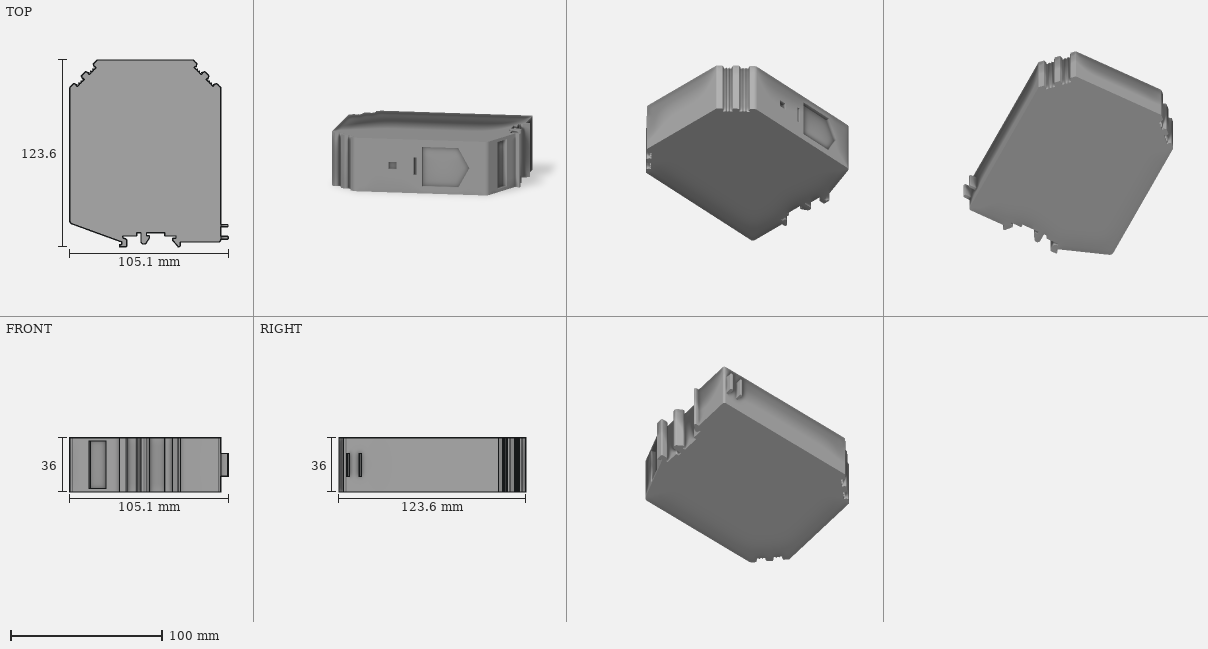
import cadquery as cq
import math

width = 100.0
length = 123.6
thickness = 36.0
mid_z = thickness / 2
base_y = 3.1

slope_start_y = 15.7
slope_angle = 20.0
slope_tan = math.tan(math.radians(slope_angle))
side_radius = 3.0
base_radius = 1.5

bevel = 18.3
bevel_angle = 45
bevel_radius = 3.3
top_radius = 1.2

notch_pitch = 11.1
notch_depth = 3.1
notch_half_mouth = 3.6
notch_half_throat = 2.6
throat_depth = 2.1
notch_half_floor = 3.2
tooth_height = 0.9
tooth_half_base = 0.5
tooth_offset = 1.0

recess_y = 9.1
shelf_y = 7.0
shelf_radius = 0.6
edge_radius = 0.5
foot_left = 33.1
foot_neck = 34.5
foot_right = 38.0
foot_toe_top = 1.4
foot_heel_radius = 1.0
foot_top_radius = 1.5
foot_groove_x = 35.3
foot_groove_y = 5.9
foot_top_y = foot_groove_y - (foot_right - foot_groove_x) * slope_tan
recess_left = 44.5
recess_right = 62.9
tongue_left = 47.1
tongue_right = 51.0
tongue_bottom = 1.7
tongue_tip_x = 50.3
tongue_radius = 2.0
barb_x = 52.9
barb_top = 7.4
barb_bottom = 5.9
hook_groove_x = 70.3
hook_left = 68.1
hook_right = 73.3
hook_top = 5.7
hook_bottom = 4.3
hook_tip_x = 71.8
hook_tip_radius = 1.2

pin_width = 15.2
pin_lengths = [4.8, 5.1]
pin_thicknesses = [1.6, 2.2]
pin_heights = [14.0, 6.0]
pin_chamfers = [0.2, 0.6]

window_top = 82.0
window_bottom = 76.9
window_height = 4.8
window_depth = 3.0
slot_top = 65.3
slot_bottom = 63.3
slot_height = 11.7
slot_depth = 5.0
arrow_top = 59.5
arrow_shoulder = 35.2
arrow_tip = 27.8
arrow_height = 26.5
arrow_depth = 2.5

label_left = 12.7
label_right = 24.1
label_height = 31.6
label_depth = 3.0


def rounded_outline(corners):
    """Closed outline through (x, y, radius) corners, each rounded by a tangent arc."""
    outline = None
    for i, (x, y, radius) in enumerate(corners):
        corner = cq.Vector(x, y)
        before = (cq.Vector(*corners[i - 1][:2]) - corner).normalized()
        after = (cq.Vector(*corners[(i + 1) % len(corners)][:2]) - corner).normalized()
        half_angle = before.getAngle(after) / 2
        setback = radius / math.tan(half_angle)
        start = corner + before * setback
        if outline is None:
            outline = cq.Workplane("XY").moveTo(start.x, start.y)
        else:
            outline = outline.lineTo(start.x, start.y)
        if radius > 0:
            end = corner + after * setback
            bisector = (before + after).normalized()
            middle = corner + bisector * (radius / math.sin(half_angle) - radius)
            outline = outline.threePointArc(middle.toTuple()[:2], end.toTuple()[:2])
    return outline.close()


def make_housing():
    corners = [
        (0, length - bevel, bevel_radius),
        (0, slope_start_y, side_radius),
        (foot_neck, slope_start_y - foot_neck * slope_tan, 0),
        (foot_neck, foot_toe_top, shelf_radius),
        (foot_left, foot_toe_top, 0),
        (foot_left, 0, 0),
        (foot_right, 0, foot_heel_radius),
        (foot_right, foot_top_y, foot_top_radius),
        (foot_groove_x, foot_groove_y, edge_radius),
        (foot_groove_x, shelf_y, 0),
        (recess_left, shelf_y, shelf_radius),
        (recess_left, recess_y, 0),
        (tongue_left, recess_y, 0),
        (tongue_left, tongue_bottom, tongue_radius),
        (tongue_tip_x, tongue_bottom, tongue_radius),
        (barb_x, barb_bottom, edge_radius),
        (barb_x, barb_top, edge_radius),
        (tongue_right, barb_top, 0),
        (tongue_right, recess_y, 0),
        (recess_right, recess_y, 0),
        (recess_right, shelf_y, shelf_radius),
        (hook_groove_x, shelf_y, 0),
        (hook_groove_x, hook_top, 0),
        (hook_left, hook_top, edge_radius),
        (hook_left, hook_bottom, edge_radius),
        (hook_tip_x, 0, 0),
        (hook_right, 0, hook_tip_radius),
        (hook_right, base_y, 0),
        (width, base_y, base_radius),
        (width, length - bevel, 0),
        (width - bevel, length, 0),
        (bevel, length, top_radius),
    ]
    return rounded_outline(corners).extrude(thickness)


def make_notch():
    """Toothed notch with undercut walls, sunk below a face that lies along the X axis."""
    half_profile = [
        (notch_half_mouth, 0),
        (notch_half_throat, -throat_depth),
        (notch_half_floor, -throat_depth),
        (notch_half_floor, -notch_depth),
        (tooth_offset + tooth_half_base, -notch_depth),
        (tooth_offset, tooth_height - notch_depth),
        (tooth_offset - tooth_half_base, -notch_depth),
    ]
    other_half = [(-along, depth) for along, depth in reversed(half_profile)]
    return cq.Workplane("XY").polyline(half_profile + other_half).close().extrude(thickness)


def cut_notches(body):
    face_middle = (bevel / 2, length - bevel / 2, 0)
    for offset in (-notch_pitch / 2, notch_pitch / 2):
        notch = make_notch().translate((offset, 0, 0))
        left_notch = notch.rotate((0, 0, 0), (0, 0, 1), bevel_angle).translate(face_middle)
        right_notch = left_notch.mirror("YZ").translate((width, 0, 0))
        body = body.cut(left_notch).cut(right_notch)
    return body


def side_pocket(top, bottom, height, depth):
    pocket = cq.Workplane("XY").box(depth, top - bottom, height, centered=(False, False, True))
    return pocket.translate((0, bottom, mid_z))


def arrow_pocket():
    half_height = arrow_height / 2
    outline = [
        (arrow_top, mid_z + half_height),
        (arrow_shoulder, mid_z + half_height),
        (arrow_tip, mid_z),
        (arrow_shoulder, mid_z - half_height),
        (arrow_top, mid_z - half_height),
    ]
    return cq.Workplane("YZ").polyline(outline).close().extrude(arrow_depth)


def label_pocket():
    """Pocket square to the sloping edge."""
    slope_span = (label_right - label_left) / math.cos(math.radians(slope_angle))
    pocket = cq.Workplane("XY").box(slope_span, label_depth, label_height, centered=(False, False, True))
    corner = (label_left, slope_start_y - label_left * slope_tan, mid_z)
    return pocket.rotate((0, 0, 0), (0, 0, 1), -slope_angle).translate(corner)


def make_pin(reach, pin_thickness, height, chamfer):
    pin = cq.Workplane("XY").box(reach, pin_thickness, pin_width, centered=(False, True, True))
    return pin.faces(">X").edges("|Z").chamfer(chamfer).translate((width, height, mid_z))


body = cut_notches(make_housing())

body = body.cut(side_pocket(window_top, window_bottom, window_height, window_depth))
body = body.cut(side_pocket(slot_top, slot_bottom, slot_height, slot_depth))
body = body.cut(arrow_pocket())
body = body.cut(label_pocket())

for pin_sizes in zip(pin_lengths, pin_thicknesses, pin_heights, pin_chamfers):
    body = body.union(make_pin(*pin_sizes))

result = body